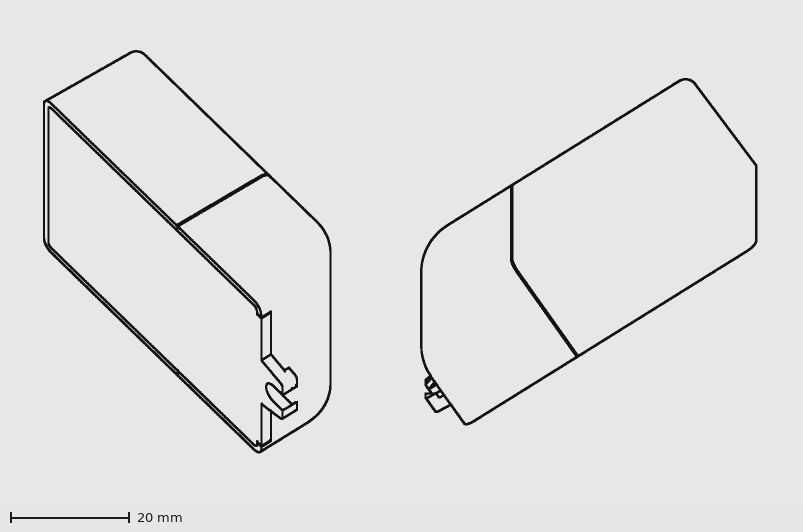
import cadquery as cq
TOTAL_LENGTH = 65.0
CASE_LENGTH = 59.2
CASE_WIDTH = 39.0
CASE_DEPTH = 20.0
DRAFT_ANGLE = 1.0
EDGE_RADIUS = 2.0
SHOULDER_RADIUS = 10.0
WALL = 1.25
INNER_RADIUS = EDGE_RADIUS - WALL

SEAM_X = 36.35
GROOVE_WIDTH = 0.2
GROOVE_DEPTH = 0.2

PLATE_THICKNESS = 2.1
PLATE_WIDTH = CASE_WIDTH - 2 * WALL
TONGUE_WIDTH = 33.4
TONGUE_CLEARANCE = 0.2

TAB_ROOT_WIDTH = 11.45
TAB_TIP_WIDTH = 9.0
TAB_CORNER_RADIUS = 0.7
SLOT_WIDTH = 4.0
SLOT_RADIUS = SLOT_WIDTH / 2
SLOT_BOTTOM_X = 60.5
LIP_TOP = 3.05
LIP_START_X = 62.85
LIP_START_WIDTH = 9.9


def prism(sketch, depth):
    """Extrude a sketch on the XZ plane from Y = 0 to Y = depth."""
    return sketch.extrude(-depth)


def rectangle(x_min, x_max, width):
    """Rectangle in the XZ plane, centred on Z = 0."""
    return cq.Workplane("XZ").center((x_min + x_max) / 2, 0).rect(x_max - x_min, width)


def outline(points):
    return cq.Workplane("XZ").polyline(points).close()


def case_block(inset=0.0):
    """Solid case shape: drafted sides, upright +X end, big shoulder and rounded edges.

    The inset moves the long sides and the back inward by that distance.
    """
    width = CASE_WIDTH - 2 * inset
    depth = CASE_DEPTH - inset
    drafted = rectangle(0, 2 * CASE_LENGTH, width).extrude(-depth, taper=DRAFT_ANGLE)
    block = drafted.intersect(prism(rectangle(0, CASE_LENGTH, width), depth))
    block = block.faces(">X").edges(">Y").fillet(SHOULDER_RADIUS)
    rounded = block.edges("not <Y").edges("not |Z")
    back_left = block.edges("|Z").edges(">Y").edges("<X")
    return block.newObject(rounded.vals() + back_left.vals()).fillet(EDGE_RADIUS - inset)


def plate_body():
    """Rounded plate that fills the area inside the case walls."""
    plate = prism(rectangle(WALL, CASE_LENGTH - WALL, PLATE_WIDTH), PLATE_THICKNESS)
    return plate.edges("|Y").fillet(INNER_RADIUS)


def tongue(width):
    """Stretch of the plate that passes through the +X wall."""
    return prism(rectangle(CASE_LENGTH / 2, CASE_LENGTH, width), PLATE_THICKNESS)


def plate_recess():
    return plate_body().union(tongue(TONGUE_WIDTH + 2 * TONGUE_CLEARANCE))


def case_slice(x_min, x_max, inset=0.0):
    """Stretch of the solid case between two X positions."""
    return case_block(inset).intersect(prism(rectangle(x_min, x_max, CASE_WIDTH), CASE_DEPTH))


def make_housing():
    """Larger part of the case; its edge at the joint is stepped in to form the groove."""
    full = case_slice(0, SEAM_X - GROOVE_WIDTH)
    groove_floor = case_slice(SEAM_X - GROOVE_WIDTH, SEAM_X, GROOVE_DEPTH)
    return full.union(groove_floor).cut(plate_recess())


def make_end_cover():
    return case_slice(SEAM_X, CASE_LENGTH).cut(plate_recess())


def tab_slot():
    """Slot open at the tip of the tab, with a round bottom."""
    arc_center_x = SLOT_BOTTOM_X + SLOT_RADIUS
    sketch = (
        cq.Workplane("XZ")
        .moveTo(TOTAL_LENGTH, -SLOT_RADIUS)
        .lineTo(arc_center_x, -SLOT_RADIUS)
        .threePointArc((SLOT_BOTTOM_X, 0), (arc_center_x, SLOT_RADIUS))
        .lineTo(TOTAL_LENGTH, SLOT_RADIUS)
        .close()
    )
    return prism(sketch, LIP_TOP)


def lip_relief():
    """Space above the tab that leaves a lip slanting from each outer side to the slot's mouth."""
    sketch = outline([
        (CASE_LENGTH, -TAB_ROOT_WIDTH / 2),
        (LIP_START_X, -TAB_ROOT_WIDTH / 2),
        (LIP_START_X, -LIP_START_WIDTH / 2),
        (TOTAL_LENGTH, -SLOT_RADIUS),
        (TOTAL_LENGTH, SLOT_RADIUS),
        (LIP_START_X, LIP_START_WIDTH / 2),
        (LIP_START_X, TAB_ROOT_WIDTH / 2),
        (CASE_LENGTH, TAB_ROOT_WIDTH / 2),
    ])
    return prism(sketch, LIP_TOP - PLATE_THICKNESS).translate((0, PLATE_THICKNESS, 0))


def mounting_tab():
    sketch = outline([
        (CASE_LENGTH, -TAB_ROOT_WIDTH / 2),
        (TOTAL_LENGTH, -TAB_TIP_WIDTH / 2),
        (TOTAL_LENGTH, TAB_TIP_WIDTH / 2),
        (CASE_LENGTH, TAB_ROOT_WIDTH / 2),
    ])
    tab = prism(sketch, LIP_TOP).edges("|Y and >X").fillet(TAB_CORNER_RADIUS)
    return tab.cut(lip_relief()).cut(tab_slot())


def make_base_plate():
    return plate_body().union(tongue(TONGUE_WIDTH)).union(mounting_tab())


housing = make_housing()
end_cover = make_end_cover()
base_plate = make_base_plate()

result = cq.Compound.makeCompound([housing.val(), end_cover.val(), base_plate.val()])